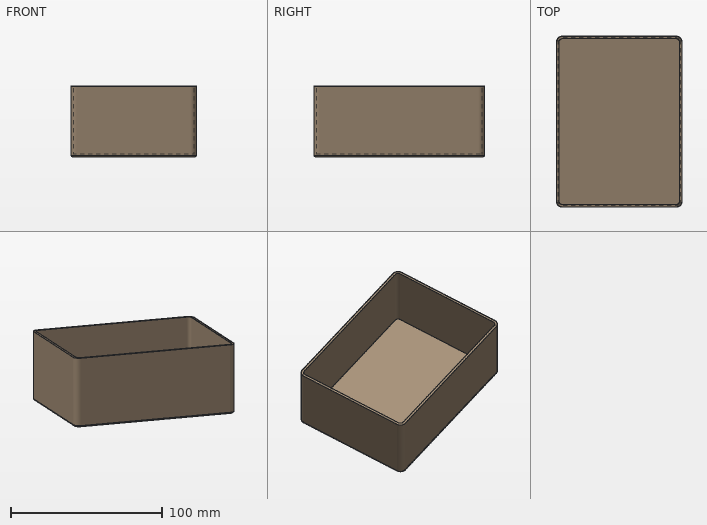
import cadquery as cq

width = 83.2
length = 113.2
height = 47.0

wall = 1.7
floor_thickness = 2.0
corner_radius = 4.0
bottom_chamfer = 1.0


def rounded_block(size_x, size_y, size_z, radius):
    """Block standing on Z = 0 with rounded vertical corners."""
    block = cq.Workplane("XY").box(size_x, size_y, size_z, centered=(True, True, False))
    return block.edges("|Z").fillet(radius)


body = rounded_block(width, length, height, corner_radius)
body = body.faces("<Z").edges().chamfer(bottom_chamfer)

cavity = rounded_block(
    width - 2 * wall,
    length - 2 * wall,
    height - floor_thickness,
    corner_radius - wall,
).translate((0, 0, floor_thickness))

result = body.cut(cavity)